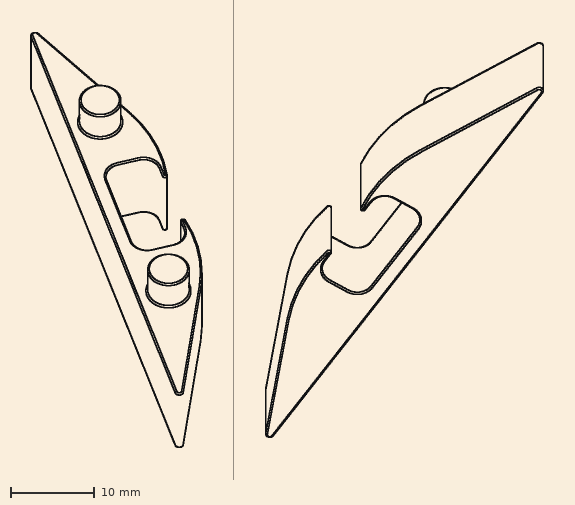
import cadquery as cq
import math

length = 60.2
depth = 9.45
body_height = 10.0
edge_chamfer = 0.2
half_length = length / 2

end_radius = 0.5
crown_radius = 18.65
crown_x = 6.9

slot_half_width = 7.05
slot_floor_y = 2.0
lip_underside_y = 8.6
slot_corner_radius = 2.0
lip_tip_radius = 0.28

pin_diameter = 5.0
pin_base_diameter = 5.4
pin_height = 4.05
pin_spacing = 28.05
pin_y = 3.9
pin_top_chamfer = 0.2
pin_base_chamfer = (pin_base_diameter - pin_diameter) / 2


def on_circle(center, radius, angle):
    """Point on a circle at an angle in radians from +X."""
    return (center[0] + radius * math.cos(angle), center[1] + radius * math.sin(angle))


def make_half_body():
    """Build the +X half of the body, before its edges are chamfered."""
    end_center = (half_length - end_radius, end_radius)
    crown_center = (crown_x, depth - crown_radius)

    span_x = end_center[0] - crown_center[0]
    span_y = end_center[1] - crown_center[1]
    span = math.hypot(span_x, span_y)
    ramp_normal = math.atan2(span_y, span_x) + math.acos((crown_radius - end_radius) / span)

    end_middle = (ramp_normal - math.pi / 2) / 2

    tip_y = lip_underside_y + lip_tip_radius
    lip_angle = math.pi - math.asin((tip_y - crown_center[1]) / (crown_radius - lip_tip_radius))
    tip_center = on_circle(crown_center, crown_radius - lip_tip_radius, lip_angle)
    lip_top = on_circle(crown_center, crown_radius, lip_angle)
    tip_end = (tip_center[0], lip_underside_y)
    tip_middle = (lip_angle + 3 * math.pi / 2) / 2
    crown_middle = (ramp_normal + lip_angle) / 2

    profile = (
        cq.Workplane("XY")
        .moveTo(0, 0)
        .lineTo(end_center[0], 0)
        .threePointArc(
            on_circle(end_center, end_radius, end_middle),
            on_circle(end_center, end_radius, ramp_normal),
        )
        .lineTo(*on_circle(crown_center, crown_radius, ramp_normal))
        .threePointArc(on_circle(crown_center, crown_radius, crown_middle), lip_top)
        .threePointArc(on_circle(tip_center, lip_tip_radius, tip_middle), tip_end)
        .lineTo(slot_half_width - slot_corner_radius, lip_underside_y)
        .tangentArcPoint((slot_corner_radius, -slot_corner_radius))
        .lineTo(slot_half_width, slot_floor_y + slot_corner_radius)
        .tangentArcPoint((-slot_corner_radius, -slot_corner_radius))
        .lineTo(0, slot_floor_y)
        .close()
    )
    return profile.extrude(body_height)


def make_body():
    """Mirror the half body and chamfer the rims of its flat faces."""
    half = make_half_body()
    body = half.union(half.mirror("YZ")).clean()
    return body.faces("<Z or >Z").edges().chamfer(edge_chamfer)


def make_pin(x):
    """Build a pin with a chamfered top and a conical flare at its foot."""
    pin_radius = pin_diameter / 2
    base = cq.Workplane("XY", origin=(x, pin_y, body_height))
    pin = base.circle(pin_radius).extrude(pin_height).faces(">Z").chamfer(pin_top_chamfer)
    foot = base.circle(pin_base_diameter / 2).extrude(pin_base_chamfer, taper=45)
    return pin.union(foot)


result = make_body()
for side in (-1, 1):
    result = result.union(make_pin(side * pin_spacing / 2))